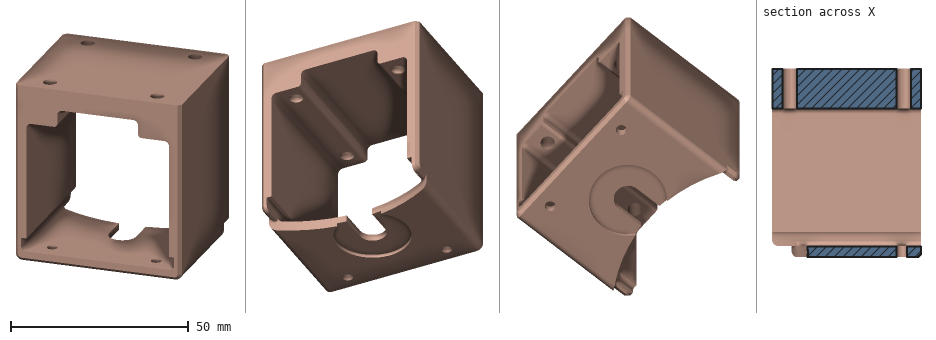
import cadquery as cq

width = 49.5
depth = 42.0
height = 53.0
half_width = width / 2
front_y = -depth / 2
rear_y = depth / 2
edge_chamfer = 1.0
outer_radius = 2.0

floor_thickness = 3.0
opening_half_width = 21.25
slot_half_width = 22.8
slot_top_z = 7.0
ledge_z = height - 11.25
recess_z = height - 6.1
recess_half_width = 12.05
inner_radius = 1.5
ledge_radius = 1.0

floor_arc_radius = 45.0
floor_arc_front_y = 8.05
floor_slot_width = 8.0

pocket_diameter = 22.0
pocket_depth = 1.0

roof_hole_spacing = 32.0
roof_hole_diameter = 4.0
floor_hole_spacing = 31.0
floor_hole_diameter = 3.0

tolerance = 0.005


def bar(half_size, bottom, top):
    """Rectangular bar along the full depth, centred on X."""
    return (
        cq.Workplane("XY")
        .box(2 * half_size, depth, top - bottom, centered=(True, True, False))
        .translate((0, 0, bottom))
    )


def floor_cut(cut_height):
    """Everything behind the curved rear edge of the floor, from Z = 0 upward."""
    arc_center_y = floor_arc_front_y + floor_arc_radius
    return cq.Workplane("XY").center(0, arc_center_y).circle(floor_arc_radius).extrude(cut_height)


def outer_body():
    """Block with rounded bottom sides, undercut at the rear and chamfered at both ends."""
    body = bar(half_width, 0, height).edges("|Y and <Z").fillet(outer_radius)
    body = body.faces("<Y").edges("not >Z").chamfer(edge_chamfer)

    body = body.cut(floor_cut(floor_thickness))
    body = body.faces(">Y").edges("<Z").fillet(outer_radius)

    for side in (-1, 1):
        edge_selector = cq.selectors.BoxSelector(
            (side * half_width - tolerance, rear_y - outer_radius - tolerance, floor_thickness - tolerance),
            (side * half_width + tolerance, rear_y + tolerance, height - tolerance),
        )
        body = body.edges(edge_selector).chamfer(edge_chamfer)
    return body


def opening():
    """Stepped opening: wide slot at the floor, main bay and narrow recess in the roof."""
    floor_slot = bar(slot_half_width, floor_thickness, slot_top_z).edges("|Y and <Z").fillet(inner_radius)
    bay = bar(opening_half_width, floor_thickness, ledge_z).edges("|Y and >Z").fillet(inner_radius)
    bay = bay.cut(bar(opening_half_width, floor_thickness, slot_top_z - inner_radius))
    recess = bar(recess_half_width, slot_top_z, recess_z).edges("|Y and >Z").fillet(inner_radius)
    profile = floor_slot.union(bay).union(recess)
    ledge_edges = cq.selectors.BoxSelector(
        (-recess_half_width - tolerance, front_y - tolerance, ledge_z - tolerance),
        (recess_half_width + tolerance, rear_y + tolerance, ledge_z + tolerance),
    )
    return profile.edges("|Y").edges(ledge_edges).fillet(ledge_radius)


def floor_slot_cut():
    """Slot with a round front end at the centre, open to the curved floor edge."""
    round_end = cq.Workplane("XY").circle(floor_slot_width / 2).extrude(floor_thickness)
    channel = cq.Workplane("XY").box(
        floor_slot_width, rear_y, floor_thickness, centered=(True, False, False)
    )
    return round_end.union(channel)


def underside_pocket():
    """Round recess that thins the floor around the slot."""
    return cq.Workplane("XY").circle(pocket_diameter / 2).extrude(pocket_depth)


def hole_pattern(spacing, diameter, bottom, top):
    """Four vertical holes at the corners of a centred square."""
    return (
        cq.Workplane("XY", origin=(0, 0, bottom))
        .rect(spacing, spacing, forConstruction=True)
        .vertices()
        .circle(diameter / 2)
        .extrude(top - bottom)
    )


result = outer_body().cut(opening())

result = result.cut(floor_cut(slot_top_z).intersect(bar(slot_half_width, 0, slot_top_z)))
result = result.cut(floor_slot_cut())
result = result.cut(underside_pocket())
result = result.cut(hole_pattern(roof_hole_spacing, roof_hole_diameter, slot_top_z, height))
result = result.cut(hole_pattern(floor_hole_spacing, floor_hole_diameter, 0, floor_thickness))